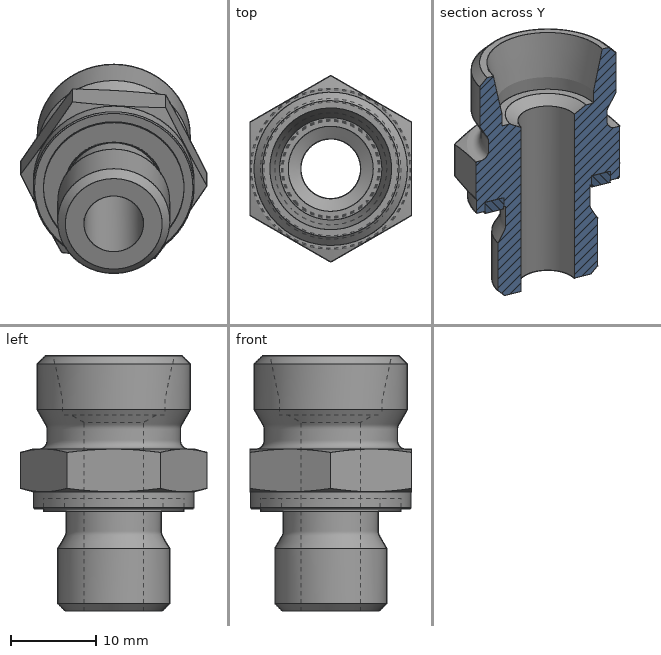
import cadquery as cq
import math

total_height = 30
flange_bottom = 12
flange_height = 2.0
hex_height = 5.0
hex_bottom = flange_bottom + flange_height
hex_top = hex_bottom + hex_height

head_diameter = 18
head_neck_diameter = 15.7
head_straight_end = 23.65
stub_diameter = 13.17
stub_neck_diameter = 11.2
stub_straight_end = 7.35
flange_diameter = 18.9
flange_chamfer = 0.15
hex_across_flats = 19.0
hex_chamfer_diameter = 18.95
hex_chamfer_angle = 15
thread_chamfer = 1.0
stub_chamfer = 0.9
relief_angle = 30
relief_radius = 1.0

through_diameter = 7.0
socket_diameter = 12
socket_depth = 7.0
mouth_cone_depth = 5.4
mouth_cone_angle = 12
lead_in_diameter = 10.0
lead_in_angle = 60

seal_inner_diameter = 11.6
seal_outer_diameter = 16.5
seal_thickness = 1.5
seal_projection = 0.3


def tan_degrees(angle):
    return math.tan(math.radians(angle))


def sin_degrees(angle):
    return math.sin(math.radians(angle))


def cos_degrees(angle):
    return math.cos(math.radians(angle))


def ring(outer_diameter, inner_diameter, bottom, height):
    """Upright ring with its lower face at the given level."""
    return (
        cq.Workplane("XY", origin=(0, 0, bottom))
        .circle(outer_diameter / 2)
        .circle(inner_diameter / 2)
        .extrude(height)
    )


def turned_outside():
    """Solid of revolution: stub, flange and head, with rounded thread reliefs."""
    stub = stub_diameter / 2
    stub_neck = stub_neck_diameter / 2
    flange = flange_diameter / 2
    head = head_diameter / 2
    head_neck = head_neck_diameter / 2

    stub_corner = stub_straight_end + (stub - stub_neck) / tan_degrees(relief_angle)
    head_corner = head_straight_end - (head - head_neck) / tan_degrees(relief_angle)

    tangent = relief_radius * tan_degrees(relief_angle / 2)
    cone_out = tangent * sin_degrees(relief_angle)
    cone_along = tangent * cos_degrees(relief_angle)
    mid_out = relief_radius * (1 - cos_degrees(relief_angle / 2))
    mid_along = tangent - relief_radius * sin_degrees(relief_angle / 2)

    quarter_mid = relief_radius * (1 - cos_degrees(45))

    profile = (
        cq.Workplane("XZ")
        .moveTo(0, 0)
        .lineTo(stub - stub_chamfer, 0)
        .lineTo(stub, stub_chamfer)
        .lineTo(stub, stub_straight_end)
        .lineTo(stub_neck + cone_out, stub_corner - cone_along)
        .threePointArc(
            (stub_neck + mid_out, stub_corner + mid_along),
            (stub_neck, stub_corner + tangent),
        )
        .lineTo(stub_neck, flange_bottom)
        .lineTo(flange - flange_chamfer, flange_bottom)
        .lineTo(flange, flange_bottom + flange_chamfer)
        .lineTo(flange, hex_top)
        .lineTo(head_neck + relief_radius, hex_top)
        .threePointArc(
            (head_neck + quarter_mid, hex_top + quarter_mid),
            (head_neck, hex_top + relief_radius),
        )
        .lineTo(head_neck, head_corner - tangent)
        .threePointArc(
            (head_neck + mid_out, head_corner - mid_along),
            (head_neck + cone_out, head_corner + cone_along),
        )
        .lineTo(head, head_straight_end)
        .lineTo(head, total_height - thread_chamfer)
        .lineTo(head - thread_chamfer, total_height)
        .lineTo(0, total_height)
        .close()
    )
    return profile.revolve(360, (0, 0, 0), (0, 1, 0))


def hexagon():
    """Hexagon with corners on the Y axis, its corners chamfered at both ends."""
    corner_radius = hex_across_flats / 2 / cos_degrees(30)
    prism = (
        cq.Workplane("XY", origin=(0, 0, hex_bottom))
        .polygon(6, 2 * corner_radius)
        .extrude(hex_height)
        .rotate((0, 0, 0), (0, 0, 1), 30)
    )
    chamfer_start = hex_chamfer_diameter / 2
    chamfer_drop = (corner_radius - chamfer_start) * tan_degrees(hex_chamfer_angle)
    envelope = (
        cq.Workplane("XZ")
        .moveTo(0, hex_bottom)
        .lineTo(chamfer_start, hex_bottom)
        .lineTo(corner_radius, hex_bottom + chamfer_drop)
        .lineTo(corner_radius, hex_top - chamfer_drop)
        .lineTo(chamfer_start, hex_top)
        .lineTo(0, hex_top)
        .close()
        .revolve(360, (0, 0, 0), (0, 1, 0))
    )
    return prism.intersect(envelope)


def bore():
    """Conical mouth, cylindrical socket, lead-in cone and through hole."""
    socket = socket_diameter / 2
    lead_in = lead_in_diameter / 2
    through = through_diameter / 2
    mouth = socket + mouth_cone_depth * tan_degrees(mouth_cone_angle)
    socket_floor = total_height - socket_depth
    lead_in_end = socket_floor - (lead_in - through) / tan_degrees(lead_in_angle)
    return (
        cq.Workplane("XZ")
        .moveTo(0, 0)
        .lineTo(through, 0)
        .lineTo(through, lead_in_end)
        .lineTo(lead_in, socket_floor)
        .lineTo(socket, socket_floor)
        .lineTo(socket, total_height - mouth_cone_depth)
        .lineTo(mouth, total_height)
        .lineTo(0, total_height)
        .close()
        .revolve(360, (0, 0, 0), (0, 1, 0))
    )


def make_seal():
    """Flat sealing ring that stands slightly proud of the flange face."""
    return ring(
        seal_outer_diameter,
        seal_inner_diameter,
        flange_bottom - seal_projection,
        seal_thickness,
    )


def make_fitting():
    """Screwed fitting with its bore and the groove that holds the seal."""
    groove = ring(
        seal_outer_diameter,
        seal_inner_diameter,
        flange_bottom,
        seal_thickness - seal_projection,
    )
    return turned_outside().union(hexagon()).cut(bore()).cut(groove)


fitting = make_fitting()
seal = make_seal()
result = cq.Compound.makeCompound([fitting.solids().val(), seal.val()])